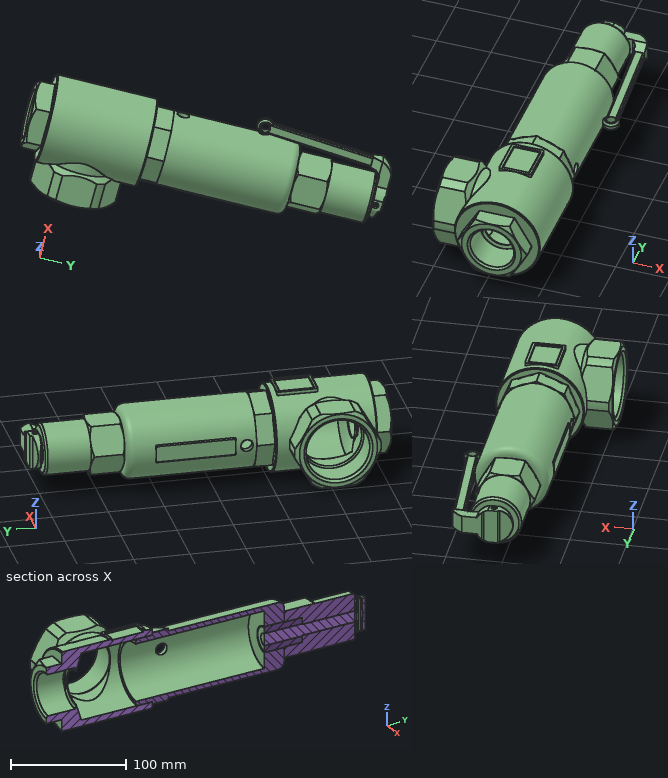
import cadquery as cq
import math


HOUSING_START = 15.3
HOUSING_END = 105.7
FLANGE_END = 121.5
BONNET_END = 236.5
NUT_END = 266.5
CAP_END = 307.0
TOP_END = 318.5

HOUSING_RADIUS = 39.2
HOUSING_BEVEL = 1.0
INLET_FLATS = 55.5
INLET_BEVEL_RADIUS = 27.5
INLET_BORE_RADIUS = 20.0
INLET_MOUTH_RADIUS = 22.0
INLET_BORE_DEPTH = 28.7
SEAT_RADIUS = 16.5
SEAT_BEVEL = 1.0
SEAT_TOP = 30.3
CHAMBER_RADIUS = 32.5
CHAMBER_FLOOR = 35.5
CHAMBER_END = 89.2

OUTLET_LEVEL = 55.0
OUTLET_FACE_X = -60.8
OUTLET_HEX_LENGTH = 25.5
OUTLET_CONE_LENGTH = 4.8
OUTLET_FLATS = 70.7
OUTLET_CORNER_RADIUS = 38.5
OUTLET_FACE_RADIUS = 34.7
OUTLET_FACE_BEVEL = 2.2
OUTLET_NECK_RADIUS = 33.0
OUTLET_BORE_RADIUS = 28.5
OUTLET_MOUTH_RADIUS = 30.5
OUTLET_BORE_DEPTH = 25.5
OUTLET_PASSAGE_RADIUS = 26.7
OUTLET_PASSAGE_END_X = -17.8

BADGE_WIDTH = 29.3
BADGE_LENGTH = 36.3
BADGE_LEVEL = 81.0
BADGE_TOP = 39.5
BADGE_BASE = 32.0
BADGE_CORNER = 1.3
BADGE_RIM = 2.5
BADGE_RECESS = 1.3

FLANGE_CORNER_DIAMETER = 70.5
BONNET_RADIUS = 33.0
BONNET_SHOULDER = 6.7
BONNET_BORE_RADIUS = 28.0
BONNET_BORE_END = 216.5
NOSE_BEVEL = 1.3
VENT_RADIUS = 5.5
VENT_LEVEL = 130.2
PLATE_START = 138.5
PLATE_END = 212.7
PLATE_HALF_WIDTH = 9.2
PLATE_BEVEL = 2.0
PLATE_BASE = 28.7

NUT_FLATS = 46.2
CAP_RADIUS = 23.0
CAP_BEVEL = 2.0

SCREW_RADIUS = 12.5
SCREW_BEVEL = 0.5
SCREW_END = 254.8
SPINDLE_RADIUS = 5.7

STUD_BASE_RADIUS = 12.7
STUD_BASE_HEIGHT = 1.3
STUD_WIDTH = 9.5
STUD_TOP = 314.5
PIN_LEVEL = 311.5
PIN_RADIUS = 2.5
PIN_HOLE_RADIUS = 1.0
LEVER_HEAD_RADIUS = 16.5
LEVER_HALF_WIDTH = 16.0
LEVER_BOTTOM = 308.5
TIP_LOWER_LEVEL = 310.5
TIP_UPPER_LEVEL = 312.5
NOSE_UNDERSIDE_X = -12.0
BROW_START = (-5.7, 315.0)
BROW_END = (-4.0, 317.2)
CREST_START = (8.3, 317.5)
CREST_END_X = 9.5
BEND_START_X = 27.5
BEND_MIDDLE = (33.5, 314.3)
BEND_END = (37.5, 308.5)
BEND_INNER_UPPER_X = 24.2
BEND_INNER_LOWER = (27.7, 304.5)
STRAP_HALF_WIDTH = 8.3
STRAP_TAPER_LEVEL = 308.0
NECK_END = 299.5
NECK_INNER_X = 28.5
NECK_OUTER_X = 38.2

ARM_WIDTH = 9.5
ARM_THICKNESS = 7.0
ARM_BEVEL = 1.3
EYE_X = 40.8
EYE_LEVEL = 202.0
EYE_RADIUS = 7.3
EYE_HOLE_RADIUS = 4.0
EYE_BEVEL = 2.0


def corner_radius(flats):
    """Distance from the centre of a hexagon to its corners."""
    return flats / 2 / math.cos(math.pi / 6)


def revolve_profile(points):
    """Turn (radius, level) points about the main axis."""
    return cq.Workplane("XY").polyline(points).close().revolve(360, (0, 0), (0, 1))


def cylinder_y(radius, start, end):
    return cq.Workplane("XZ", origin=(0, start, 0)).circle(radius).extrude(start - end)


def hexagon_y(flats, start, end):
    """Hexagonal prism along Y with corners on the X axis."""
    plane = cq.Workplane("XZ", origin=(0, start, 0))
    return plane.polygon(6, 2 * corner_radius(flats)).extrude(start - end)


def revolve_outlet(points):
    """Turn (x, radius) points about the outlet axis."""
    plane = cq.Workplane("XY", origin=(0, OUTLET_LEVEL, 0))
    return plane.polyline(points).close().revolve(360, (0, 0), (1, 0))


def make_inlet_hexagon():
    corner = corner_radius(INLET_FLATS)
    bevel = (corner - INLET_BEVEL_RADIUS) * math.tan(math.pi / 6)
    envelope = revolve_profile([
        (0, 0),
        (INLET_BEVEL_RADIUS, 0),
        (corner, bevel),
        (corner, HOUSING_START),
        (0, HOUSING_START),
    ])
    return hexagon_y(INLET_FLATS, 0, HOUSING_START).intersect(envelope)


def make_outlet_branch():
    hex_back_x = OUTLET_FACE_X + OUTLET_HEX_LENGTH
    neck_x = hex_back_x + OUTLET_CONE_LENGTH
    envelope = revolve_outlet([
        (OUTLET_FACE_X, 0),
        (OUTLET_FACE_X, OUTLET_FACE_RADIUS),
        (OUTLET_FACE_X + OUTLET_FACE_BEVEL, OUTLET_CORNER_RADIUS),
        (hex_back_x, OUTLET_CORNER_RADIUS),
        (neck_x, OUTLET_NECK_RADIUS),
        (0, OUTLET_NECK_RADIUS),
        (0, 0),
    ])
    plane = cq.Workplane("YZ", origin=(OUTLET_FACE_X, OUTLET_LEVEL, 0))
    prism = plane.polygon(6, 2 * corner_radius(OUTLET_FLATS)).extrude(-OUTLET_FACE_X)
    return prism.intersect(envelope)


def make_badge():
    return (
        cq.Workplane("XY", origin=(0, BADGE_LEVEL, BADGE_BASE))
        .rect(BADGE_WIDTH, BADGE_LENGTH)
        .extrude(BADGE_TOP - BADGE_BASE)
        .edges("|Z")
        .fillet(BADGE_CORNER)
    )


def make_badge_recess():
    return (
        cq.Workplane("XY", origin=(0, BADGE_LEVEL, BADGE_TOP))
        .rect(BADGE_WIDTH - 2 * BADGE_RIM, BADGE_LENGTH - 2 * BADGE_RIM)
        .extrude(-BADGE_RECESS)
    )


def make_inlet_cavity():
    """Inlet bore, seat, funnel floor and flow chamber."""
    mouth_depth = INLET_MOUTH_RADIUS - INLET_BORE_RADIUS
    return revolve_profile([
        (0, 0),
        (INLET_MOUTH_RADIUS, 0),
        (INLET_BORE_RADIUS, mouth_depth),
        (INLET_BORE_RADIUS, INLET_BORE_DEPTH),
        (SEAT_RADIUS, INLET_BORE_DEPTH + SEAT_BEVEL),
        (SEAT_RADIUS, SEAT_TOP),
        (CHAMBER_RADIUS, CHAMBER_FLOOR),
        (CHAMBER_RADIUS, HOUSING_END),
        (0, HOUSING_END),
    ])


def make_outlet_cavity():
    mouth_depth = OUTLET_MOUTH_RADIUS - OUTLET_BORE_RADIUS
    step_x = OUTLET_FACE_X + OUTLET_BORE_DEPTH
    step = OUTLET_BORE_RADIUS - OUTLET_PASSAGE_RADIUS
    return revolve_outlet([
        (OUTLET_FACE_X, 0),
        (OUTLET_FACE_X, OUTLET_MOUTH_RADIUS),
        (OUTLET_FACE_X + mouth_depth, OUTLET_BORE_RADIUS),
        (step_x, OUTLET_BORE_RADIUS),
        (step_x + step, OUTLET_PASSAGE_RADIUS),
        (OUTLET_PASSAGE_END_X, OUTLET_PASSAGE_RADIUS),
        (OUTLET_PASSAGE_END_X, 0),
    ])


def make_housing():
    barrel = cylinder_y(HOUSING_RADIUS, HOUSING_START, HOUSING_END)
    barrel = barrel.faces("<Y or >Y").chamfer(HOUSING_BEVEL)
    outside = barrel.union(make_inlet_hexagon()).union(make_outlet_branch()).union(make_badge())
    outside = outside.cut(make_badge_recess())
    return outside.cut(make_inlet_cavity()).cut(make_outlet_cavity())


def make_bonnet_plate():
    """Flat plate with bevelled edges, level with the bonnet's -X side."""
    length = PLATE_END - PLATE_START
    middle = (PLATE_START + PLATE_END) / 2
    return (
        cq.Workplane("YZ", origin=(-PLATE_BASE, middle, 0))
        .rect(length, 2 * PLATE_HALF_WIDTH)
        .extrude(PLATE_BASE - BONNET_RADIUS)
        .edges("|X")
        .chamfer(PLATE_BEVEL)
        .faces("<X")
        .chamfer(PLATE_BEVEL)
    )


def make_bonnet():
    nose = cylinder_y(CHAMBER_RADIUS, CHAMBER_END, HOUSING_END).faces("<Y").chamfer(NOSE_BEVEL)
    flange = (
        cq.Workplane("XZ", origin=(0, HOUSING_END, 0))
        .polygon(8, FLANGE_CORNER_DIAMETER)
        .extrude(HOUSING_END - FLANGE_END)
    )
    barrel = cylinder_y(BONNET_RADIUS, FLANGE_END, BONNET_END)
    barrel = barrel.faces(">Y").edges().fillet(BONNET_SHOULDER)
    vent = cq.Workplane("YZ", origin=(0, VENT_LEVEL, 0)).circle(VENT_RADIUS)
    vent = vent.extrude(BONNET_RADIUS, both=True)
    bonnet = nose.union(flange).union(barrel).union(make_bonnet_plate()).cut(vent)
    bore = cylinder_y(BONNET_BORE_RADIUS, CHAMBER_END, BONNET_BORE_END)
    screw_hole = cylinder_y(SCREW_RADIUS, BONNET_BORE_END, BONNET_END)
    return bonnet.cut(bore).cut(screw_hole)


def make_spindle():
    """Lifting rod from the end of the bonnet bore up to the stud."""
    return cylinder_y(SPINDLE_RADIUS, BONNET_BORE_END, CAP_END)


def make_adjusting_screw():
    screw = cylinder_y(SCREW_RADIUS, BONNET_BORE_END, SCREW_END)
    return screw.faces("<Y").chamfer(SCREW_BEVEL).cut(make_spindle())


def make_cap():
    """Hexagon nut and smooth cap in one piece."""
    corner = corner_radius(NUT_FLATS)
    bevel = (corner - NUT_FLATS / 2) * math.tan(math.pi / 6)
    envelope = revolve_profile([
        (0, BONNET_END),
        (NUT_FLATS / 2, BONNET_END),
        (corner, BONNET_END + bevel),
        (corner, NUT_END - bevel),
        (NUT_FLATS / 2, NUT_END),
        (0, NUT_END),
    ])
    nut = hexagon_y(NUT_FLATS, BONNET_END, NUT_END).intersect(envelope)
    cap = cylinder_y(CAP_RADIUS, NUT_END, CAP_END).faces(">Y").chamfer(CAP_BEVEL)
    screw_hole = cylinder_y(SCREW_RADIUS, BONNET_END, SCREW_END)
    return nut.union(cap).cut(screw_hole).cut(make_spindle())


def make_pin():
    """Hollow cross pin through the lever head and the stud."""
    pin = cq.Workplane("XY", origin=(0, PIN_LEVEL, 0)).circle(PIN_RADIUS).circle(PIN_HOLE_RADIUS)
    return pin.extrude(LEVER_HALF_WIDTH, both=True)


def make_pin_bore():
    bore = cq.Workplane("XY", origin=(0, PIN_LEVEL, 0)).circle(PIN_RADIUS)
    return bore.extrude(LEVER_HALF_WIDTH, both=True)


def make_stud_tongue():
    height = STUD_TOP - CAP_END
    middle = (CAP_END + STUD_TOP) / 2
    return cq.Workplane("XY", origin=(0, middle, 0)).box(STUD_WIDTH, height, STUD_WIDTH)


def make_lifting_stud():
    base = cylinder_y(STUD_BASE_RADIUS, CAP_END, CAP_END + STUD_BASE_HEIGHT)
    return base.union(make_stud_tongue()).cut(make_pin_bore())


def make_lever_side():
    """Bent outline of the lever, across its full width."""
    return (
        cq.Workplane("XY")
        .moveTo(-LEVER_HEAD_RADIUS, TIP_UPPER_LEVEL)
        .lineTo(*BROW_START)
        .lineTo(*BROW_END)
        .lineTo(*CREST_START)
        .lineTo(CREST_END_X, TOP_END)
        .lineTo(BEND_START_X, TOP_END)
        .threePointArc(BEND_MIDDLE, BEND_END)
        .lineTo(NECK_OUTER_X, NECK_END)
        .lineTo(NECK_INNER_X, NECK_END)
        .lineTo(*BEND_INNER_LOWER)
        .lineTo(BEND_INNER_UPPER_X, LEVER_BOTTOM)
        .lineTo(NOSE_UNDERSIDE_X, LEVER_BOTTOM)
        .lineTo(-LEVER_HEAD_RADIUS, TIP_LOWER_LEVEL)
        .close()
        .extrude(LEVER_HALF_WIDTH, both=True)
    )


def make_lever_strap():
    """Strap envelope, tapered towards the neck to the arm's thickness."""
    neck_half = ARM_THICKNESS / 2
    return (
        cq.Workplane("YZ")
        .polyline([
            (TOP_END, -STRAP_HALF_WIDTH),
            (TOP_END, STRAP_HALF_WIDTH),
            (STRAP_TAPER_LEVEL, STRAP_HALF_WIDTH),
            (NECK_END, neck_half),
            (NECK_END, -neck_half),
            (STRAP_TAPER_LEVEL, -STRAP_HALF_WIDTH),
        ])
        .close()
        .extrude(NECK_OUTER_X)
    )


def make_lever():
    """Bent lever with a round head and a narrower strap."""
    head = cylinder_y(LEVER_HEAD_RADIUS, NECK_END, TOP_END)
    lever = make_lever_side().intersect(head.union(make_lever_strap()))
    return lever.cut(make_stud_tongue()).cut(make_pin_bore())


def make_arm():
    """Slanted flat bar that ends in an eye."""
    top_middle = (NECK_INNER_X + NECK_OUTER_X) / 2
    half = ARM_WIDTH / 2
    bar = (
        cq.Workplane("XY", origin=(0, 0, -ARM_THICKNESS / 2))
        .polyline([
            (top_middle - half, NECK_END),
            (top_middle + half, NECK_END),
            (EYE_X + half, EYE_LEVEL),
            (EYE_X - half, EYE_LEVEL),
        ])
        .close()
        .extrude(ARM_THICKNESS)
        .faces("<Z or >Z")
        .edges("not #Y")
        .chamfer(ARM_BEVEL)
    )
    eye_plane = cq.Workplane("XY", origin=(EYE_X, EYE_LEVEL, -ARM_THICKNESS / 2))
    eye = eye_plane.circle(EYE_RADIUS).extrude(ARM_THICKNESS).faces("<Z or >Z").chamfer(EYE_BEVEL)
    hole = eye_plane.circle(EYE_HOLE_RADIUS).extrude(ARM_THICKNESS)
    return bar.union(eye).cut(hole)


housing = make_housing()
bonnet = make_bonnet()
adjusting_screw = make_adjusting_screw()
spindle = make_spindle()
cap = make_cap()
lifting_stud = make_lifting_stud()
pin = make_pin()
lever = make_lever()
arm = make_arm()

result = cq.Compound.makeCompound([
    housing.val(),
    bonnet.val(),
    adjusting_screw.val(),
    spindle.val(),
    cap.val(),
    lifting_stud.val(),
    pin.val(),
    lever.val(),
    arm.val(),
])